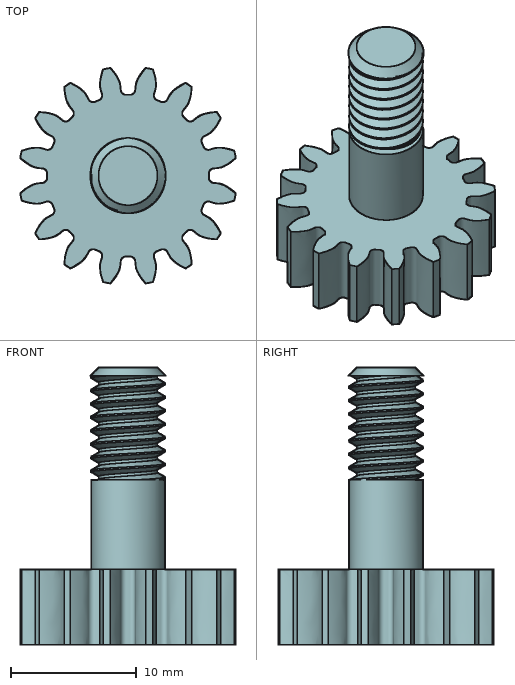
import cadquery as cq
import math

TOOTH_COUNT = 16
GEAR_HEIGHT = 6.0
PITCH_RADIUS = 7.68
PRESSURE_ANGLE = math.radians(20)
BASE_RADIUS = PITCH_RADIUS * math.cos(PRESSURE_ANGLE)
TIP_RADIUS = 8.675
CUTTER_REACH = TIP_RADIUS + 1.0
ROOT_RADIUS = 6.43
ROOT_FILLET = 0.4
TOOTH_PITCH_ANGLE = 2 * math.pi / TOOTH_COUNT
HALF_TOOTH_AT_PITCH = TOOTH_PITCH_ANGLE / 4
FLANK_POINTS = 8

TOTAL_HEIGHT = 22.02
SHANK_RADIUS = 5.88 / 2
SHANK_TOP = 13.1

COLLAR_RADIUS = 3.0
COLLAR_CHAMFER = 0.66
COLLAR_BOTTOM = TOTAL_HEIGHT - COLLAR_CHAMFER

THREAD_PITCH = 1.066
THREAD_CORE_RADIUS = COLLAR_RADIUS - COLLAR_CHAMFER
THREAD_DEPTH = SHANK_RADIUS - THREAD_CORE_RADIUS
CREST_WIDTH = THREAD_PITCH / 8
FLANK_TAPER = math.tan(math.radians(30))
CREST_HEIGHT_AT_PLUS_X = 13.26
RIDGE_OVERLAP = 0.1


def involute_angle(radius):
    """Angle swept by an involute out to a radius; zero inside the base circle."""
    roll = math.acos(min(1.0, BASE_RADIUS / radius))
    return math.tan(roll) - roll


HALF_TOOTH_AT_BASE = HALF_TOOTH_AT_PITCH + involute_angle(PITCH_RADIUS)


def polar(radius, angle):
    """Point at a radius and an angle in radians, as X and Y."""
    return (radius * math.cos(angle), radius * math.sin(angle))


def tooth_space():
    """Cutter for the gap between two teeth, centred on +X, with rounded root corners."""
    half_gap_at_base = TOOTH_PITCH_ANGLE / 2 - HALF_TOOTH_AT_BASE
    radius_step = (TIP_RADIUS - ROOT_RADIUS) / (FLANK_POINTS - 1)
    flank_radii = [ROOT_RADIUS + i * radius_step for i in range(FLANK_POINTS)]

    def flank(side):
        return [
            polar(r, side * (half_gap_at_base + involute_angle(r)))
            for r in flank_radii
        ]

    lower, upper = flank(-1), flank(1)
    space = (
        cq.Workplane("XY")
        .moveTo(*lower[0])
        .spline(lower[1:], includeCurrent=True)
        .threePointArc((CUTTER_REACH, 0), upper[-1])
        .spline(upper[-2::-1], includeCurrent=True)
        .threePointArc((ROOT_RADIUS, 0), lower[0])
        .close()
        .extrude(GEAR_HEIGHT)
    )
    return space.edges("|Z").edges("<X").fillet(ROOT_FILLET)


def make_gear():
    gear = cq.Workplane("XY").circle(TIP_RADIUS).extrude(GEAR_HEIGHT)
    space = tooth_space()
    for i in range(TOOTH_COUNT):
        gear = gear.cut(space.rotate((0, 0, 0), (0, 0, 1), i * 360 / TOOTH_COUNT))
    return gear


def make_shank():
    """Plain round shank, running down through the pinion to its underside."""
    return cq.Workplane("XY").circle(SHANK_RADIUS).extrude(SHANK_TOP)


def make_collar():
    """End collar, chamfered over its full height."""
    return (
        cq.Workplane("XY", origin=(0, 0, COLLAR_BOTTOM))
        .circle(COLLAR_RADIUS)
        .workplane(offset=COLLAR_CHAMFER)
        .circle(THREAD_CORE_RADIUS)
        .loft(ruled=True)
    )


def make_thread():
    """Core with a helical ridge, trimmed flat between the shank and the collar."""
    start = CREST_HEIGHT_AT_PLUS_X - THREAD_PITCH
    turns = math.ceil((COLLAR_BOTTOM - start) / THREAD_PITCH) + 1
    inner_radius = THREAD_CORE_RADIUS - RIDGE_OVERLAP
    half_crest = CREST_WIDTH / 2
    half_base = half_crest + (THREAD_DEPTH + RIDGE_OVERLAP) * FLANK_TAPER
    helix = cq.Wire.makeHelix(THREAD_PITCH, turns * THREAD_PITCH, inner_radius)
    ridge = (
        cq.Workplane("XZ")
        .moveTo(inner_radius, -half_base)
        .lineTo(SHANK_RADIUS, -half_crest)
        .lineTo(SHANK_RADIUS, half_crest)
        .lineTo(inner_radius, half_base)
        .close()
        .sweep(cq.Workplane(helix), isFrenet=True)
        .translate((0, 0, start))
    )
    thread_zone = (
        cq.Workplane("XY", origin=(0, 0, SHANK_TOP))
        .circle(COLLAR_RADIUS)
        .extrude(COLLAR_BOTTOM - SHANK_TOP)
    )
    core = (
        cq.Workplane("XY", origin=(0, 0, start - THREAD_PITCH))
        .circle(THREAD_CORE_RADIUS)
        .extrude((turns + 2) * THREAD_PITCH)
    )
    return core.union(ridge).intersect(thread_zone)


screw = make_shank().union(make_thread()).union(make_collar())
result = make_gear().union(screw)